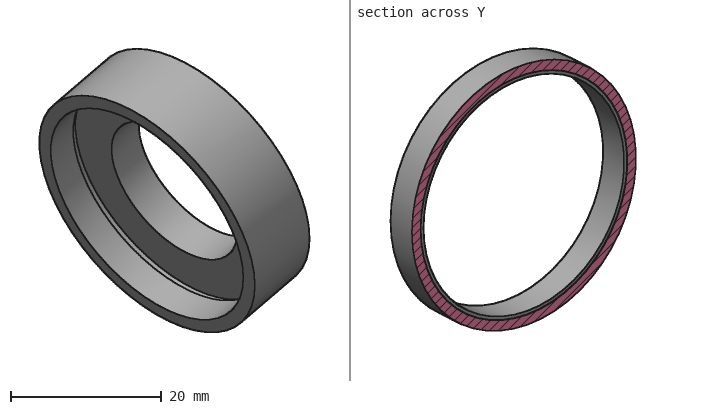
import cadquery as cq

outer_diameter = 38.1
width = 11.0
bore_diameter = 22.2
recess_diameter = 34.0
recess_depth = 5.5
undercut_depth = 0.5
undercut_width = 1.0


def disc(diameter, start_y, length):
    """Cylinder along +Y that starts at start_y."""
    plane = cq.Workplane("XZ", origin=(0, start_y, 0))
    return plane.circle(diameter / 2).extrude(-length)


body = disc(outer_diameter, 0, width)
bore = disc(bore_diameter, 0, width)

recess = disc(recess_diameter, 0, recess_depth)

undercut_diameter = recess_diameter + 2 * undercut_depth
undercut = disc(undercut_diameter, recess_depth - undercut_width, undercut_width)

result = body.cut(bore).cut(recess).cut(undercut)